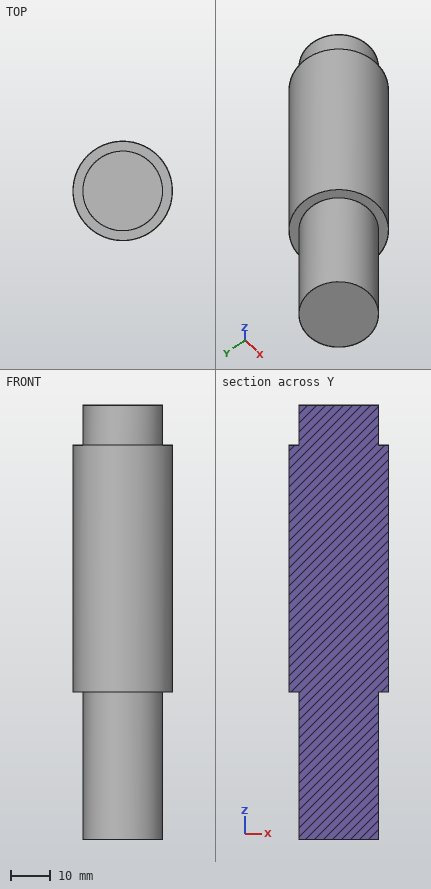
import cadquery as cq

journal_diameter = 20.0
body_diameter = 25.0
lower_journal_length = 37.0
body_length = 62.0
upper_journal_length = 10.0


def cylinder_section(diameter, base_height, length):
    """Solid cylinder about the Z axis, rising from base_height."""
    return cq.Workplane("XY").workplane(offset=base_height).circle(diameter / 2).extrude(length)


body_base = lower_journal_length
body_top = body_base + body_length

lower_journal = cylinder_section(journal_diameter, 0, lower_journal_length)
body = cylinder_section(body_diameter, body_base, body_length)
upper_journal = cylinder_section(journal_diameter, body_top, upper_journal_length)

result = lower_journal.union(body).union(upper_journal)